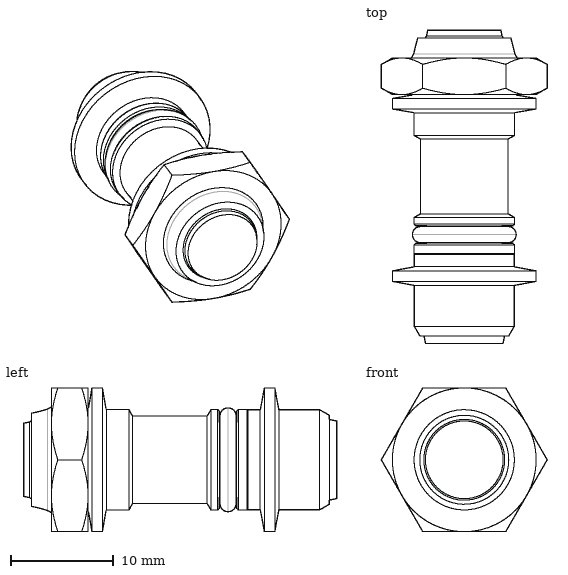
import cadquery as cq
import math

length = 30.5
across_flats = 14.0

flange_radius = across_flats / 2
shaft_radius = 4.27
collar_radius = 4.9
front_barrel_radius = 4.88
front_chamfer_radius = 4.33
groove_floor_radius = 3.65
front_tip_radius = 3.78
front_tip_foot_radius = 3.93
back_tip_radius = 3.57
back_tip_neck_radius = 3.7
back_tip_foot_radius = 3.8
back_cone_tip_radius = 4.55
back_cone_neck_radius = 4.95
back_cone_foot_radius = 5.15

front_tip_end = 0.73
front_chamfer_end = 1.68
front_flange_start = 5.65
front_flange_end = 7.47
front_collar_start = 8.65
groove_start = 9.75
groove_end = 11.45
rear_collar_end = 12.63
shaft_end = 19.9
back_flange_start = 22.45
nut_start = 24.22
nut_end = 27.8
back_cone_neck = 28.18
back_cone_end = 29.75
back_tip_neck = 29.92

flange_cone_height = 0.37
front_flange_cone_height = 0.4
collar_chamfer = 0.37
groove_chamfer = 0.18
collar_step = 0.1
groove_lip_inset = 0.18

oring_radius = 0.8
oring_outer_radius = 5.05
nut_sides = 6
nut_chamfer_angle = 30.0


def turn(profile):
    """Turn an open (radius, y) outline about the Y axis, closing it along the axis."""
    first_y = profile[0][1]
    last_y = profile[-1][1]
    outline = [(0, first_y)] + profile + [(0, last_y)]
    return cq.Workplane("XY").polyline(outline).close().revolve(360, (0, 0, 0), (0, 1, 0))


def make_body():
    """Stepped spindle with collars and O-ring groove, running from tip to tip."""
    return turn([
        (front_tip_radius, 0),
        (front_tip_foot_radius, front_tip_end),
        (front_chamfer_radius, front_tip_end),
        (front_barrel_radius, front_chamfer_end),
        (front_barrel_radius, front_collar_start),
        (collar_radius, front_collar_start + collar_step),
        (collar_radius, groove_start - groove_chamfer),
        (collar_radius - groove_lip_inset, groove_start),
        (groove_floor_radius, groove_start),
        (groove_floor_radius, groove_end),
        (collar_radius - groove_lip_inset, groove_end),
        (collar_radius, groove_end + groove_chamfer),
        (collar_radius, rear_collar_end - collar_chamfer),
        (shaft_radius, rear_collar_end),
        (shaft_radius, shaft_end),
        (collar_radius, shaft_end + collar_chamfer),
        (collar_radius, nut_end),
        (back_cone_foot_radius, nut_end),
        (back_cone_neck_radius, back_cone_neck),
        (back_cone_tip_radius, back_cone_end),
        (back_tip_foot_radius, back_cone_end),
        (back_tip_neck_radius, back_tip_neck),
        (back_tip_radius, length),
    ])


def make_flange(start, end, foot_radius, cone_height):
    """Disc with shallow cones on both faces, rising from the given foot radius."""
    return turn([
        (foot_radius, start),
        (flange_radius, start + cone_height),
        (flange_radius, end - cone_height),
        (foot_radius, end),
    ])


def make_oring():
    """Ring seated in the groove, midway between the collars."""
    ring_center = (oring_outer_radius - oring_radius, (groove_start + groove_end) / 2)
    return (
        cq.Workplane("XY")
        .center(*ring_center)
        .circle(oring_radius)
        .revolve(360, (-ring_center[0], 0, 0), (-ring_center[0], 1, 0))
    )


def make_nut():
    """Hexagon with flats facing up and down and conically chamfered corners."""
    corner_radius = flange_radius / math.cos(math.pi / nut_sides)
    chamfer_height = (corner_radius - flange_radius) * math.tan(math.radians(nut_chamfer_angle))
    hexagon = (
        cq.Workplane("XZ", origin=(0, nut_start, 0))
        .polygon(nut_sides, 2 * corner_radius)
        .extrude(nut_start - nut_end)
    )
    chamfer_envelope = turn([
        (flange_radius, nut_start),
        (corner_radius, nut_start + chamfer_height),
        (corner_radius, nut_end - chamfer_height),
        (flange_radius, nut_end),
    ])
    return hexagon.intersect(chamfer_envelope)


front_flange = make_flange(
    front_flange_start, front_flange_end, front_barrel_radius, front_flange_cone_height
)
back_flange = make_flange(back_flange_start, nut_start, collar_radius, flange_cone_height)

result = (
    make_body()
    .union(front_flange)
    .union(back_flange)
    .union(make_oring())
    .union(make_nut())
)